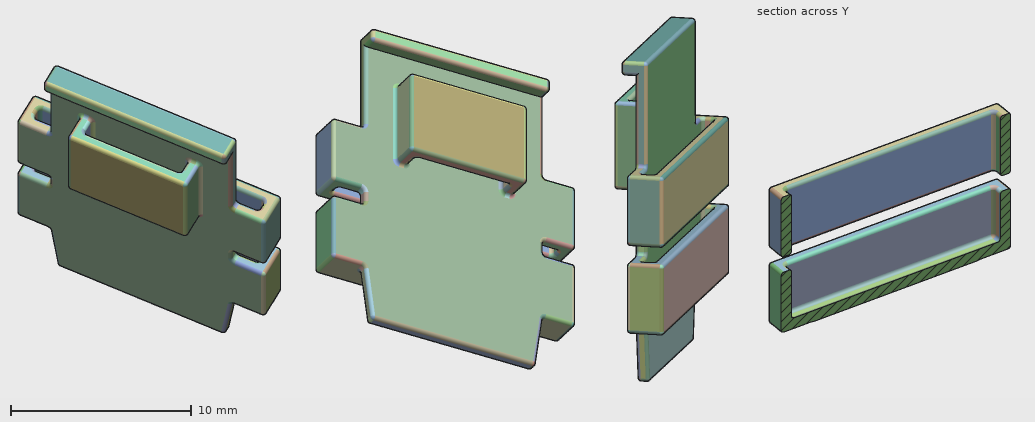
import cadquery as cq

wall = 0.7
edge_radius = 0.2
height = 18.3

plate_width = 11.31
foot_width = 10.38
hook_height = 0.8
hook_reach = 0.8

tab_span = 15.4
tab_height = 4.0
tab_gap = 0.99
tab_bottom = 3.3
tab_depth = 2.1
pocket_gap = tab_depth - 2 * wall
pocket_width = tab_span - 2 * wall
upper_tab_bottom = tab_bottom + tab_height + tab_gap
upper_tab_top = upper_tab_bottom + tab_height

loop_width = 7.4
loop_height = 5.0
loop_top = 15.5
loop_reach = 1.7
loop_bottom = loop_top - loop_height


def block(width, y_range, z_range):
    """Box centred on X, spanning the given Y and Z ranges."""
    y_size = y_range[1] - y_range[0]
    z_size = z_range[1] - z_range[0]
    return (
        cq.Workplane("XY")
        .box(width, y_size, z_size, centered=(True, False, False))
        .translate((0, y_range[0], z_range[0]))
    )


def make_plate():
    """Flat plate with its front face on Y = 0 and a tapered lower end."""
    half_width = plate_width / 2
    half_foot = foot_width / 2
    outline = [
        (-half_foot, 0),
        (half_foot, 0),
        (half_width, tab_bottom),
        (half_width, height),
        (-half_width, height),
        (-half_width, tab_bottom),
    ]
    return cq.Workplane("XZ").polyline(outline).close().extrude(-wall)


def make_hook():
    """Lip along the top edge, reaching forward."""
    return block(plate_width, (-hook_reach, wall), (height - hook_height, height))


def make_tab(bottom):
    """Full-width band that stands out behind and beside the plate."""
    return block(tab_span, (0, tab_depth), (bottom, bottom + tab_height))


def make_pocket():
    """Slot through the upper tab and down to a floor in the lower tab."""
    floor = tab_bottom + wall
    return block(pocket_width, (wall, wall + pocket_gap), (floor, upper_tab_top))


def make_loop():
    """Strap loop on the front, open at the top and bottom."""
    z_range = (loop_bottom, loop_top)
    outer = block(loop_width, (-loop_reach, 0), z_range)
    opening = block(loop_width - 2 * wall, (wall - loop_reach, 0), z_range)
    return outer.cut(opening)


body = make_plate().union(make_hook())
for bottom in (tab_bottom, upper_tab_bottom):
    body = body.union(make_tab(bottom))
body = body.cut(make_pocket()).union(make_loop())

hook_bottom = height - hook_height
corner_margin = edge_radius / 2
hook_corner = cq.selectors.BoxSelector(
    (-corner_margin, -corner_margin, hook_bottom - corner_margin),
    (corner_margin, corner_margin, hook_bottom + corner_margin),
)
rounded_edges = cq.selectors.InverseSelector(hook_corner)
result = body.edges(rounded_edges).fillet(edge_radius)